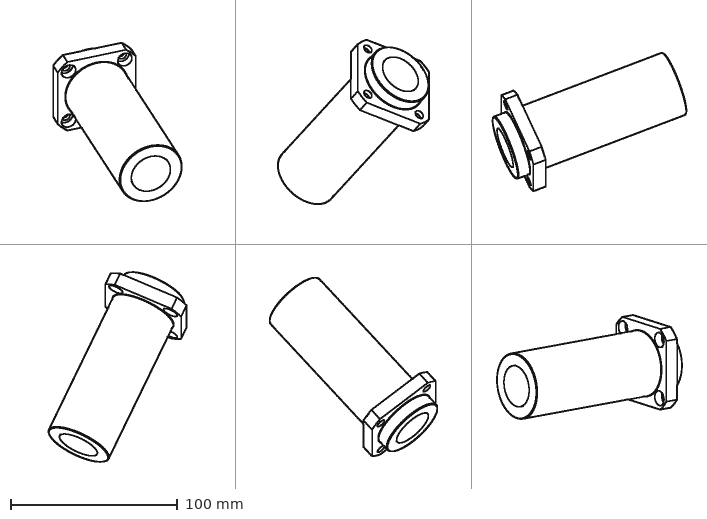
import cadquery as cq

tube_length = 110.0
tube_diameter = 40.0
bore_diameter = 25.0
end_chamfer = 0.5

flange_width = 50.0
flange_corner_diameter = 62.5
flange_start = 8.0
flange_thickness = 8.0
flange_end = flange_start + flange_thickness
root_chamfer = 0.3

hole_diameter = 5.5
hole_spacing = 36.0
counterbore_diameter = 9.0
counterbore_depth = 5.1


def cylinder(diameter, start, length):
    """Solid cylinder along the X axis."""
    return cq.Workplane("YZ", origin=(start, 0, 0)).circle(diameter / 2).extrude(length)


def make_tube():
    """Tube body with both outer ends chamfered and a small bevel at each flange face."""
    radius = tube_diameter / 2
    end_radius = radius - end_chamfer
    root_radius = radius + root_chamfer
    profile = [
        (0, 0),
        (0, end_radius),
        (end_chamfer, radius),
        (flange_start - root_chamfer, radius),
        (flange_start, root_radius),
        (flange_end, root_radius),
        (flange_end + root_chamfer, radius),
        (tube_length - end_chamfer, radius),
        (tube_length, end_radius),
        (tube_length, 0),
    ]
    return cq.Workplane("XY").polyline(profile).close().revolve(360, (0, 0, 0), (1, 0, 0))


def make_flange():
    """Square plate trimmed by a cylinder, which rounds off its four corners."""
    plate = (
        cq.Workplane("YZ", origin=(flange_start, 0, 0))
        .rect(flange_width, flange_width)
        .extrude(flange_thickness)
    )
    return plate.intersect(cylinder(flange_corner_diameter, flange_start, flange_thickness))


def corner_cylinders(diameter, start, end):
    """Four cylinders along X, one at each mounting hole position."""
    return (
        cq.Workplane("YZ", origin=(start, 0, 0))
        .rect(hole_spacing, hole_spacing, forConstruction=True)
        .vertices()
        .circle(diameter / 2)
        .extrude(end - start)
    )


def make_mounting_holes():
    """Four through holes, counterbored from the long-tube side of the flange."""
    holes = corner_cylinders(hole_diameter, flange_start, flange_end)
    counterbores = corner_cylinders(counterbore_diameter, flange_end - counterbore_depth, flange_end)
    return holes.union(counterbores)


bore = cylinder(bore_diameter, 0, tube_length)
result = make_tube().union(make_flange()).cut(make_mounting_holes()).cut(bore)